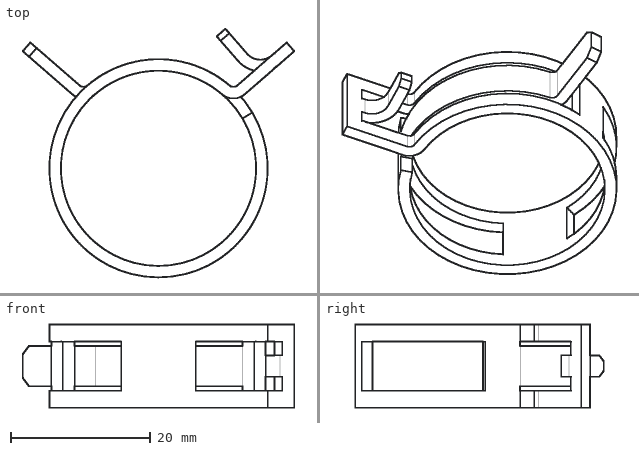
import cadquery as cq
import math


overall_width = 39.0
band_width = 12.0
thickness = 1.68
outer_radius = 15.68
inner_radius = outer_radius - thickness

slot_width = 7.02
window_start_angle = 169.0
window_end_angle = 250.0
shoulder_angle = 30.7

ear_angle = 41.0
ear_face_offset = -0.1
bend_radius = 0.85
tongue_width = 5.8
tongue_chamfer = 1.2
slot_end_margin = 2.35

tab_width = 3.1
tab_chamfer = 0.85
tab_bend_radius = 2.55
tab_straight = 0.45
tab_tip_height = 8.8

ear_low = ear_face_offset
ear_high = ear_low + thickness
ear_tilt = math.radians(ear_angle)
ear_tip = (overall_width / 2 + ear_low * math.sin(ear_tilt)) / math.cos(ear_tilt)
slot_tip = ear_tip - slot_end_margin
bend_v = ear_high + bend_radius
bend_u = math.sqrt((outer_radius + bend_radius) ** 2 - bend_v**2)
bend_angle = math.degrees(math.atan2(bend_v, bend_u))


def polar(radius, angle, center=(0, 0)):
    turn = math.radians(angle)
    return (center[0] + radius * math.cos(turn), center[1] + radius * math.sin(turn))


def extrude_centered(outline, width):
    return outline.close().extrude(width / 2, both=True)


def place_ear(body):
    """Turn a body from the ear frame to its place on the ring."""
    return body.rotate((0, 0, 0), (0, 0, 1), ear_angle)


def mirror_across_x(body):
    return body.mirror("YZ")


def strip(end_angle, tip, width):
    """Ear, bend and ring length, running counterclockwise from the +X side ear to end_angle."""
    ring_end = end_angle - ear_angle
    ring_middle = (bend_angle + ring_end) / 2
    bend_center = (bend_u, bend_v)
    bend_middle = (180 + bend_angle + 270) / 2
    far_radius = bend_radius + thickness
    outline = (
        cq.Workplane("XY")
        .moveTo(tip, ear_low)
        .lineTo(tip, ear_high)
        .lineTo(bend_u, ear_high)
        .threePointArc(polar(bend_radius, bend_middle, bend_center), polar(outer_radius, bend_angle))
        .threePointArc(polar(outer_radius, ring_middle), polar(outer_radius, ring_end))
        .lineTo(*polar(inner_radius, ring_end))
        .threePointArc(polar(inner_radius, ring_middle), polar(inner_radius, bend_angle))
        .threePointArc(polar(far_radius, bend_middle, bend_center), (bend_u, ear_low))
    )
    return extrude_centered(outline, width)


def window():
    """Cutter for the window on the -X side, with radial ends."""
    reach = outer_radius + thickness
    middle = (window_start_angle + window_end_angle) / 2
    outline = (
        cq.Workplane("XY")
        .lineTo(*polar(reach, window_start_angle))
        .threePointArc(polar(reach, middle), polar(reach, window_end_angle))
    )
    return extrude_centered(outline, slot_width)


def tongue():
    """Narrow strip from the shoulder, over the top, to the chamfered ear on the -X side."""
    body = strip(180 - shoulder_angle, ear_tip, tongue_width)
    body = body.faces(">X").edges("|Y").chamfer(tongue_chamfer)
    return mirror_across_x(place_ear(body))


def catch_tab():
    """Tab that leaves the end of the ear slot and curls a quarter turn away from the ring."""
    bend_start = slot_tip - tab_straight
    center = (bend_start, ear_high + tab_bend_radius)
    arc_middle = (180 + 270) / 2
    far_radius = tab_bend_radius + thickness
    near_u = bend_start - tab_bend_radius
    far_u = bend_start - far_radius
    outline = (
        cq.Workplane("XY")
        .moveTo(slot_tip, ear_low)
        .lineTo(slot_tip, ear_high)
        .lineTo(bend_start, ear_high)
        .threePointArc(polar(tab_bend_radius, arc_middle, center), (near_u, center[1]))
        .lineTo(near_u, tab_tip_height)
        .lineTo(far_u, tab_tip_height)
        .lineTo(far_u, center[1])
        .threePointArc(polar(far_radius, arc_middle, center), (bend_start, ear_low))
    )
    body = extrude_centered(outline, tab_width)
    return place_ear(body.faces(">Y").edges("|X").chamfer(tab_chamfer))


band = place_ear(strip(360 + shoulder_angle, ear_tip, band_width))
band = band.cut(place_ear(strip(180 - shoulder_angle, slot_tip, slot_width)))
band = band.cut(window())
band = band.cut(mirror_across_x(window()))

result = band.union(catch_tab()).union(tongue(), clean=False)